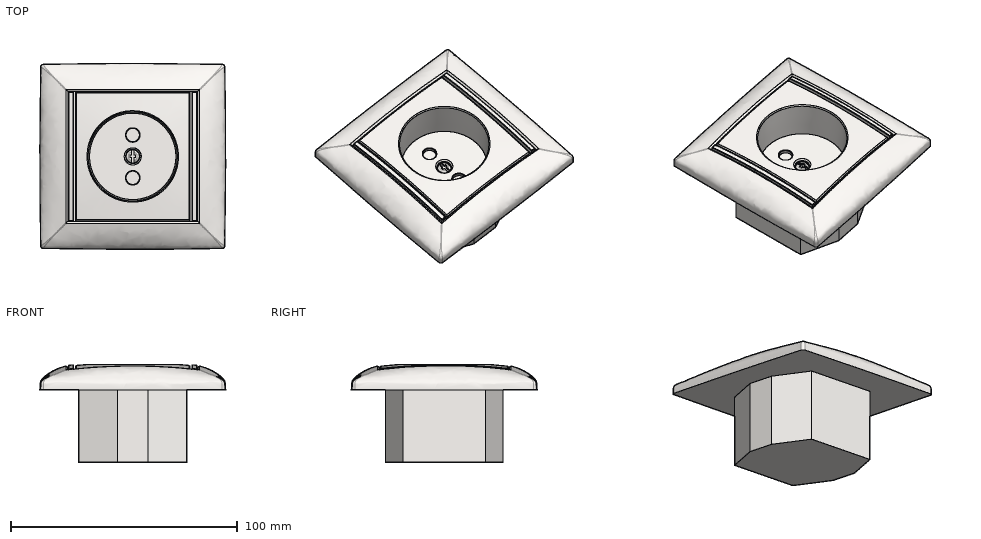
import cadquery as cq
import math

PLATE_SIZE = 82.0
PLATE_HEIGHT = 11.2
BODY_DEPTH = 32.0
HALF = PLATE_SIZE / 2

SPARE = 4.1

BODY_HALF_X = 23.9
BODY_HALF_Y = 26.0
BODY_FLAT_X = 6.65
BODY_FLAT_Y = 18.3

WELL_RADIUS = 19.7
WELL_FLOOR_RADIUS = 19.0
WELL_RIM = 0.5
WELL_DEPTH = 17.2

DOME_RADIUS = 246.0
RIM_RADIUS = WELL_RADIUS + WELL_RIM
DOME_CENTRE_Z = PLATE_HEIGHT - math.sqrt(DOME_RADIUS**2 - RIM_RADIUS**2)

WALL_HEIGHT = 3.5
WALL_LEAN = 0.3
SIDE_BOW = 0.4
SHOULDER_INSET = 4.9
SHOULDER_RISE = 0.61
FRAME_EDGE = 29.5
FRAME_PROUD = 0.3
OPENING_HALF = 28.6
EDGE_STEEPNESS = 2.7
EDGE_BEVEL = 0.65
CORNER_RADIUS = 1.2

FLOOR_Z = 6.6
INSERT_HALF_X = 25.3
INSERT_HALF_Y = 28.4
INSERT_BEVEL = 0.5
RAIL_INNER = 26.15
RAIL_OUTER = 28.2
RAIL_PROUD = 0.4
RAIL_BEVEL = 0.2

PIN_OFFSET = 9.4
PIN_RADIUS = 2.95
PIN_DEPTH = 1.6
PIN_BEVEL = 0.25
SCREW_RADIUS = 3.1
SCREW_BEVEL = 0.65
SCREW_DEPTH = 1.6
HEAD_RADIUS = 2.95
HEAD_HEIGHT = 1.2
HEAD_ROUND = 1.0
SLOT_WIDTH = 1.15
CROSS_LENGTH = 2.5
SLOT_DEPTH = 0.8

WELL_FLOOR_Z = PLATE_HEIGHT - WELL_DEPTH


def box(x_min, x_max, half_y, z_min, z_max):
    """Block between two X positions, centred on Y."""
    width = x_max - x_min
    return (
        cq.Workplane("XY")
        .box(width, 2 * half_y, z_max - z_min, centered=(False, True, False))
        .translate((x_min, 0, z_min))
    )


def cone(bottom_radius, top_radius, z_min, z_max):
    """Round frustum on the Z axis."""
    profile = [(0, z_min), (bottom_radius, z_min), (top_radius, z_max), (0, z_max)]
    return cq.Workplane("XZ").polyline(profile).close().revolve(360, (0, 0), (0, 1))


def dome_height(x, y):
    """Z of the dome above a point of the wall plane."""
    return DOME_CENTRE_Z + math.sqrt(DOME_RADIUS**2 - x**2 - y**2)


def frame_section(x):
    """Closed cross-section of the -Y frame side at a given X."""
    outer = HALF - SIDE_BOW * (x / HALF) ** 2
    edge_z = dome_height(x, FRAME_EDGE) + FRAME_PROUD
    wall_top = outer - WALL_LEAN
    shoulder_z = WALL_HEIGHT + SHOULDER_RISE * (edge_z - WALL_HEIGHT)
    edge_slope = FRAME_EDGE / (edge_z - DOME_CENTRE_Z)
    plane = cq.Plane(origin=(x, 0, 0), xDir=(0, -1, 0), normal=(-1, 0, 0))
    return (
        cq.Workplane(plane)
        .moveTo(OPENING_HALF, 0)
        .lineTo(outer, 0)
        .spline(
            [(wall_top, WALL_HEIGHT), (HALF - SHOULDER_INSET, shoulder_z), (FRAME_EDGE, edge_z)],
            tangents=[(-WALL_LEAN, WALL_HEIGHT), (-1, EDGE_STEEPNESS * edge_slope)],
            includeCurrent=True,
        )
        .lineTo(OPENING_HALF, edge_z - EDGE_BEVEL)
        .close()
        .val()
    )


def on_outer_mitre(edge):
    """True for the edges where two frame sides meet outside the bevelled opening."""
    middle = edge.positionAt(0.5)
    on_diagonal = math.isclose(abs(middle.x), abs(middle.y), abs_tol=0.001)
    return on_diagonal and abs(middle.x) > FRAME_EDGE and middle.z > 0


def make_frame():
    """Four identical sides, lofted, mitred at the diagonals and rounded where they meet."""
    reach = HALF + SPARE
    sections = [frame_section(x) for x in (-reach, 0, reach)]
    side = cq.Workplane(cq.Solid.makeLoft(sections))
    mitre = (
        cq.Workplane("XY")
        .polyline([(0, 0), (-reach, -reach), (reach, -reach)])
        .close()
        .extrude(PLATE_HEIGHT)
    )
    side = side.intersect(mitre)
    frame = side
    for turn in (90, 180, 270):
        frame = frame.union(side.rotate((0, 0, 0), (0, 0, 1), turn))
    mitres = [edge for edge in frame.edges().vals() if on_outer_mitre(edge)]
    return frame.newObject(mitres).fillet(CORNER_RADIUS)


def under_dome(block, proud=0.0):
    """Trim a block to the dome, or to a sphere standing proud of it."""
    ball = cq.Workplane("XY").sphere(DOME_RADIUS + proud).translate((0, 0, DOME_CENTRE_Z))
    return block.intersect(ball)


def make_centre():
    """Floor of the opening with the domed insert and its two rails."""
    top = PLATE_HEIGHT + SPARE
    centre = box(-OPENING_HALF, OPENING_HALF, OPENING_HALF, 0, FLOOR_Z)
    insert = box(-INSERT_HALF_X, INSERT_HALF_X, INSERT_HALF_Y, 0, top)
    insert = under_dome(insert).faces(">Z").edges().chamfer(INSERT_BEVEL)
    centre = centre.union(insert)
    for start in (-RAIL_OUTER, RAIL_INNER):
        rail = box(start, start + RAIL_OUTER - RAIL_INNER, INSERT_HALF_Y, 0, top)
        rail = under_dome(rail, RAIL_PROUD).faces(">Z").edges("not #Y").chamfer(RAIL_BEVEL)
        centre = centre.union(rail)
    return centre


def make_body():
    """Eight-sided prism below the plate."""
    quarter = [(BODY_HALF_X, BODY_FLAT_Y), (BODY_FLAT_X, BODY_HALF_Y)]
    right = [(x, -y) for x, y in reversed(quarter)] + quarter
    left = [(-x, -y) for x, y in right]
    return cq.Workplane("XY").polyline(right + left).close().extrude(-BODY_DEPTH)


def make_well():
    """Cutter for the tapered socket well."""
    well = cone(WELL_FLOOR_RADIUS, WELL_RADIUS, WELL_FLOOR_Z, PLATE_HEIGHT - WELL_RIM)
    rim = cone(WELL_RADIUS, RIM_RADIUS, PLATE_HEIGHT - WELL_RIM, PLATE_HEIGHT)
    above = cone(RIM_RADIUS, RIM_RADIUS, PLATE_HEIGHT, PLATE_HEIGHT + SPARE)
    return well.union(rim).union(above)


def make_bevelled_hole(radius, bevel, depth):
    """Cutter for a blind hole in the well floor."""
    hole = cone(radius, radius, WELL_FLOOR_Z - depth, WELL_FLOOR_Z)
    return hole.union(cone(radius, radius + bevel, WELL_FLOOR_Z - bevel, WELL_FLOOR_Z))


def make_screw_head():
    """Rounded screw head with a long slot and a short cross slot."""
    seat_z = WELL_FLOOR_Z - SCREW_DEPTH
    top_z = seat_z + HEAD_HEIGHT
    head = cone(HEAD_RADIUS, HEAD_RADIUS, seat_z, top_z)
    head = head.faces(">Z").edges().fillet(HEAD_ROUND)
    slot_z = top_z - SLOT_DEPTH
    slot = box(-SLOT_WIDTH / 2, SLOT_WIDTH / 2, HEAD_RADIUS, slot_z, top_z)
    cross = box(-CROSS_LENGTH / 2, CROSS_LENGTH / 2, SLOT_WIDTH / 2, slot_z, top_z)
    return head.cut(slot).cut(cross)


result = make_frame().union(make_centre()).union(make_body()).cut(make_well())
for y in (-PIN_OFFSET, PIN_OFFSET):
    pin_hole = make_bevelled_hole(PIN_RADIUS, PIN_BEVEL, PIN_DEPTH)
    result = result.cut(pin_hole.translate((0, y, 0)))
screw_hole = make_bevelled_hole(SCREW_RADIUS, SCREW_BEVEL, SCREW_DEPTH)
result = result.cut(screw_hole).union(make_screw_head())